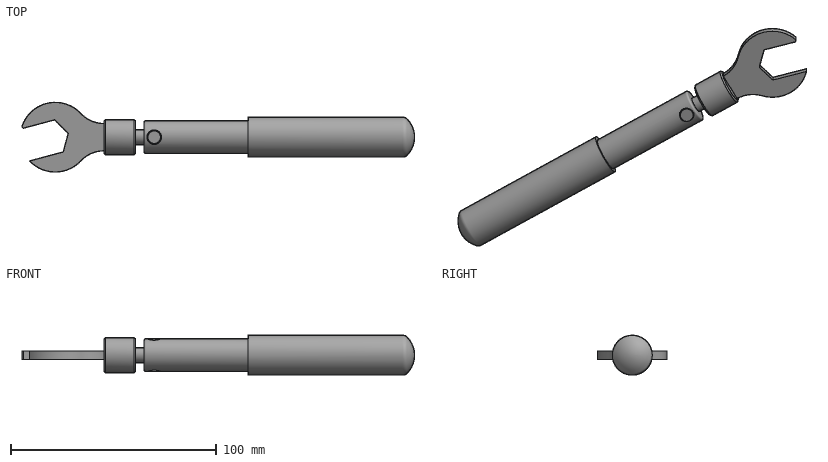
import cadquery as cq
import math

overall_length = 191.5

wrench_thickness = 4.2
jaw_center_x = 16.3
jaw_radius = 17.0
stem_half_width = 6.7
stem_blend_radius = 15.3
nut_center_x = 13.6
nut_center_y = -0.5
nut_across_flats = 16.0
nut_tilt = 15.0
mouth_reach = 2 * jaw_radius

collar_start = 40.0
collar_end = 55.5
collar_diameter = 17.2
collar_chamfer = 0.8
neck_diameter = 7.5

shaft_start = 59.5
shaft_diameter = 16.0
shaft_end_fillet = 1.0
grip_start = 110.3
grip_diameter = 19.5
dome_radius = 12.5
dome_edge_fillet = 2.7

pin_x = 64.5
pin_diameter = 6.3
pin_hole_diameter = 6.9


def rod(start, end, diameter):
    """Round bar on the tool axis between two X positions."""
    return cq.Workplane("YZ", origin=(start, 0, 0)).circle(diameter / 2).extrude(end - start)


def wrench_blank():
    """Round jaw plate flowing into the stem through tangent concave arcs."""
    blend_y = stem_half_width + stem_blend_radius
    center_gap = jaw_radius + stem_blend_radius
    blend_dx = math.sqrt(center_gap**2 - blend_y**2)
    blend_x = jaw_center_x + blend_dx
    tangent_x = jaw_center_x + blend_dx * jaw_radius / center_gap
    tangent_y = blend_y * jaw_radius / center_gap
    start_angle = math.atan2(tangent_y - blend_y, tangent_x - blend_x)
    middle_angle = (start_angle - math.pi / 2) / 2
    middle_x = blend_x + stem_blend_radius * math.cos(middle_angle)
    middle_y = blend_y + stem_blend_radius * math.sin(middle_angle)
    return (
        cq.Workplane("XY", origin=(0, 0, -wrench_thickness / 2))
        .moveTo(collar_end, -stem_half_width)
        .lineTo(collar_end, stem_half_width)
        .lineTo(blend_x, stem_half_width)
        .threePointArc((middle_x, middle_y), (tangent_x, tangent_y))
        .threePointArc((jaw_center_x - jaw_radius, 0), (tangent_x, -tangent_y))
        .threePointArc((middle_x, -middle_y), (blend_x, -stem_half_width))
        .close()
        .extrude(wrench_thickness)
    )


def jaw_opening():
    """Hexagonal nut seat, with two flats carried on to form the open mouth."""
    corner_diameter = nut_across_flats / math.cos(math.pi / 6)
    side = corner_diameter / 2
    plane = cq.Workplane("XY").transformed(
        offset=(nut_center_x, nut_center_y, 0), rotate=(0, 0, nut_tilt)
    )
    seat = plane.polygon(6, corner_diameter).extrude(wrench_thickness, both=True)
    mouth = (
        plane.center((side / 2 - mouth_reach) / 2, 0)
        .rect(mouth_reach + side / 2, nut_across_flats)
        .extrude(wrench_thickness, both=True)
    )
    return seat.union(mouth)


def tip_trim():
    """Corner cut at 45 degrees that blunts the upper jaw tip where its rim meets X = 0."""
    rim_y = math.sqrt(jaw_radius**2 - jaw_center_x**2)
    return (
        cq.Workplane("XY")
        .moveTo(-rim_y, 0)
        .lineTo(-rim_y, 2 * rim_y)
        .lineTo(rim_y, 0)
        .close()
        .extrude(wrench_thickness, both=True)
    )


def make_head():
    """Open-ended wrench, collar and neck."""
    wrench = wrench_blank().cut(jaw_opening()).cut(tip_trim())
    collar = rod(collar_start, collar_end, collar_diameter).edges().chamfer(collar_chamfer)
    neck = rod(collar_end, shaft_start, neck_diameter)
    return wrench.union(collar).union(neck)


def grip_profile():
    """Half section of the grip: straight side, rounded edge, spherical end."""
    grip_radius = grip_diameter / 2
    dome_x = overall_length - dome_radius
    fillet_y = grip_radius - dome_edge_fillet
    dome_angle = math.asin(fillet_y / (dome_radius - dome_edge_fillet))
    fillet_x = dome_x + (dome_radius - dome_edge_fillet) * math.cos(dome_angle)
    fillet_angle = (dome_angle + math.pi / 2) / 2

    def dome_point(angle):
        return dome_x + dome_radius * math.cos(angle), dome_radius * math.sin(angle)

    fillet_middle = (
        fillet_x + dome_edge_fillet * math.cos(fillet_angle),
        fillet_y + dome_edge_fillet * math.sin(fillet_angle),
    )
    return (
        cq.Workplane("XY")
        .moveTo(grip_start, 0)
        .lineTo(grip_start, grip_radius)
        .lineTo(fillet_x, grip_radius)
        .threePointArc(fillet_middle, dome_point(dome_angle))
        .threePointArc(dome_point(dome_angle / 2), (overall_length, 0))
        .close()
    )


def make_handle():
    """Slim shaft and a thicker grip with a domed end."""
    shaft = rod(shaft_start, grip_start, shaft_diameter).faces("<X").edges().fillet(shaft_end_fillet)
    grip = grip_profile().revolve(360, (0, 0, 0), (1, 0, 0))
    return shaft.union(grip)


def cross_bar(diameter, length):
    """Vertical bar through the tool axis at the pin position."""
    bar = cq.Workplane("XY", origin=(pin_x, 0, -length / 2))
    return bar.circle(diameter / 2).extrude(length)


def make_wrench_body():
    """Head and handle in one piece, cross-drilled for the pin."""
    pin_hole = cross_bar(pin_hole_diameter, grip_diameter)
    return make_head().union(make_handle()).cut(pin_hole)


def make_pin():
    """Flat-ended cross pin, as long as the shaft is thick."""
    return cross_bar(pin_diameter, shaft_diameter)


wrench_body = make_wrench_body()
pin = make_pin()
result = cq.Compound.makeCompound([wrench_body.val(), pin.val()])